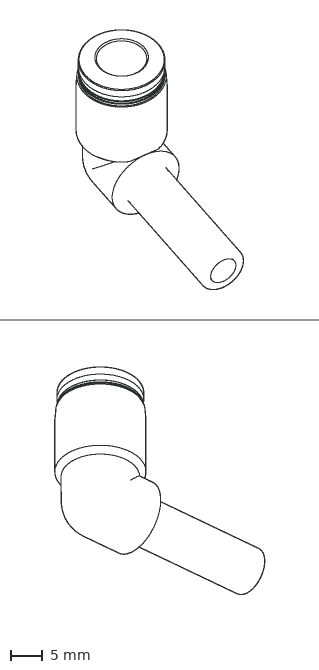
import cadquery as cq
import math


overall_length = 37.95
overall_height = 28.04

elbow_radius = 12.5 / 2
passage_radius = 4.7 / 2

body_radius = 14.5 / 2
body_shoulder_z = 5.65
body_chamfer = body_radius - elbow_radius
body_taper_z = 15.79
body_top_z = 17.72
body_top_radius = 7.1

collar_radius = 13.7 / 2
collar_bevel = 0.1
collar_split_z = 18.22
collar_top_z = 18.77

neck_radius = 9.4 / 2
neck_fillet = 0.5
flange_radius = 13.8 / 2
flange_bottom_z = 19.8
flange_rim_z = 21.17
flange_bevel = 0.15
top_z = overall_height - elbow_radius

socket_radius = 8.0 / 2
socket_floor_z = body_shoulder_z - body_chamfer
mouth_chamfer = 0.25

stem_radius = 8.0 / 2
stem_end_x = overall_length - body_radius
stem_fillet = 0.5
elbow_face_clearance = 0.02
elbow_face_x = body_radius + elbow_face_clearance


def arc_midpoint_offset(radius):
    """Distance from either tangent side of a quarter-circle fillet to its midpoint."""
    return radius * (1 - math.cos(math.radians(45)))


def cylinder_z(radius, height):
    return cq.Workplane("XY").circle(radius).extrude(height)


def cylinder_x(radius, length):
    return cq.Workplane("YZ").circle(radius).extrude(length)


def make_elbow():
    """Round-cornered elbow: a ball joining a vertical and a horizontal cylinder."""
    ball = cq.Workplane("XY").sphere(elbow_radius)
    upright = cylinder_z(elbow_radius, body_shoulder_z)
    arm = cylinder_x(elbow_radius, elbow_face_x)
    return ball.union(upright).union(arm)


def make_socket():
    """Socket body, collar and release button, revolved about the Z axis."""
    arc_offset = arc_midpoint_offset(neck_fillet)
    profile = (
        cq.Workplane("XZ")
        .moveTo(0, socket_floor_z)
        .lineTo(elbow_radius, socket_floor_z)
        .lineTo(body_radius, body_shoulder_z)
        .lineTo(body_radius, body_taper_z)
        .lineTo(body_top_radius, body_top_z)
        .lineTo(collar_radius, body_top_z)
        .lineTo(collar_radius, collar_split_z - collar_bevel)
        .lineTo(collar_radius - collar_bevel, collar_split_z)
        .lineTo(collar_radius, collar_split_z + collar_bevel)
        .lineTo(collar_radius, collar_top_z - collar_bevel)
        .lineTo(collar_radius - collar_bevel, collar_top_z)
        .lineTo(neck_radius, collar_top_z)
        .lineTo(neck_radius, flange_bottom_z - neck_fillet)
        .threePointArc(
            (neck_radius + arc_offset, flange_bottom_z - arc_offset),
            (neck_radius + neck_fillet, flange_bottom_z),
        )
        .lineTo(flange_radius, flange_bottom_z)
        .lineTo(flange_radius, flange_rim_z)
        .lineTo(flange_radius - flange_bevel, flange_rim_z + flange_bevel)
        .lineTo(socket_radius + mouth_chamfer, top_z)
        .lineTo(0, top_z)
        .close()
    )
    return profile.revolve(360, (0, 0), (0, 1))


def make_stem():
    """Stem along +X with a fillet at its root and a rounded free end."""
    arc_offset = arc_midpoint_offset(stem_fillet)
    profile = (
        cq.Workplane("XY")
        .lineTo(0, stem_radius + stem_fillet)
        .lineTo(elbow_face_x, stem_radius + stem_fillet)
        .threePointArc(
            (elbow_face_x + arc_offset, stem_radius + arc_offset),
            (elbow_face_x + stem_fillet, stem_radius),
        )
        .lineTo(stem_end_x - stem_fillet, stem_radius)
        .threePointArc(
            (stem_end_x - arc_offset, stem_radius - arc_offset),
            (stem_end_x, stem_radius - stem_fillet),
        )
        .lineTo(stem_end_x, 0)
        .close()
    )
    return profile.revolve(360, (0, 0), (1, 0))


def make_passage():
    """Flow passage through both legs, with a round corner, and the wider tube socket."""
    corner = cq.Workplane("XY").sphere(passage_radius)
    upright = cylinder_z(passage_radius, top_z)
    arm = cylinder_x(passage_radius, stem_end_x)
    socket = cylinder_z(socket_radius, top_z - socket_floor_z).translate((0, 0, socket_floor_z))
    mouth = (
        cq.Workplane("XY")
        .workplane(offset=top_z)
        .circle(socket_radius + mouth_chamfer)
        .workplane(offset=-mouth_chamfer)
        .circle(socket_radius)
        .loft(ruled=True)
    )
    return corner.union(upright).union(arm).union(socket).union(mouth)


outer_shape = make_elbow().union(make_socket()).union(make_stem())
result = outer_shape.cut(make_passage())